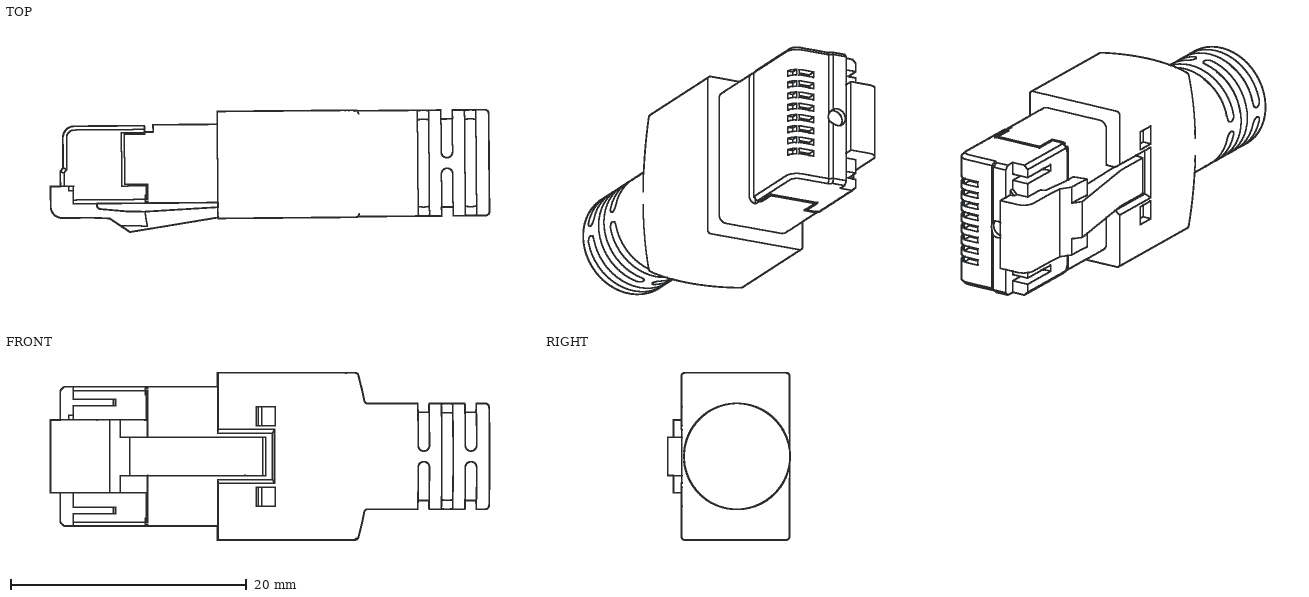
import cadquery as cq
import math

TILT = 0.5
TOLERANCE = 1e-3

BODY_HALF_Z = 5.92
BODY_TOP = 3.4
BODY_BOTTOM = -3.2
FACE_X = 1.08
LIP_X = 0.84
LIP_TOP = -0.15
LIP_BEVEL = 0.3
LIP_BOTTOM = -1.7
CHEEK_X = 1.94
NOSE_RADIUS = 1.0
EDGE_BEVEL = 0.33
NOTCH_START = 8.03
NOTCH_END = 8.75
NOTCH_DEPTH = 0.55
SHIELD_TOP = 3.46
SHIELD_EDGE_RADIUS = 0.68

SEAM_DEPTH = 0.12
SEAM_WIDTH = 0.14
SEAM_FRONT_X = 6.06
SEAM_FRONT_WIDTH = 0.25
SEAM_TOP = 2.8
SEAM_STEP_Y = -1.72
SEAM_REAR_X = 8.13

CONTACT_COUNT = 8
CONTACT_PITCH = 1.016
CONTACT_WIDTH = 0.48
CONTACT_FACE_BOTTOM = 1.3
CONTACT_FACE_TOP = 2.67
CONTACT_NOSE_BOTTOM = 2.87
CONTACT_FLOOR_X = 1.9

MARK_RADIUS = 0.75
MARK_Y = -0.85
MARK_DEPTH = 0.35
SLIT_Z = 4.58
SLIT_WIDTH = 0.56
SLIT_END = 5.55
SLIT_STEP = 0.2
SLIT_STEP_Y = -2.55
WEB_SIZE = 0.4

LATCH_HALF_Z = 3.09
LATCH_BOTTOM = -4.4
LATCH_CORNER = 1.0
LATCH_BEND_X = 3.54
LATCH_RAMP_X = 5.0
LATCH_RAMP_Y = -4.47
SHOULDER_X = 5.9
SHOULDER_BEND_X = 7.24
LATCH_END = 8.2
LATCH_END_Y = -5.17
LATCH_END_LEAN = 0.2
ROOT_X = 3.95
ROOT_RADIUS = 0.3
LATCH_INNER_ROOT_Y = -3.65
LATCH_INNER_DIP_X = 6.5
LATCH_INNER_DIP_Y = -3.87
LATCH_INNER_END_Y = -3.9
ARM_HALF_Z = 1.63
ARM_PEAK_X = 6.72
ARM_PEAK_Y = -5.64
RAMP_SLOPE = (ARM_PEAK_Y - LATCH_RAMP_Y) / (ARM_PEAK_X - LATCH_RAMP_X)
SHOULDER_Y = LATCH_RAMP_Y + RAMP_SLOPE * (SHOULDER_X - LATCH_RAMP_X)
ARM_FLAT_X = 14.65
ARM_FLAT_Y = -4.4
ARM_INNER_Y = -3.55
ARM_FOOT_X = 16.5
ARM_END = 18.0
ARM_END_LEAN = 0.25

BOOT_X = 14.2
BOOT_HALF_Y = 4.55
BOOT_HALF_Z = 7.1
BOOT_TIP_X = 27.1
BOOT_DOME_SAG = 1.0
BOOT_EDGE = 0.3
BAY_END = 19.03
BAY_HALF_Z = 2.3
BAY_FLOOR_Y = BODY_BOTTOM
BAY_BEVEL = 0.33
BAY_END_BEVEL = 0.2
BAY_BEVEL_DEPTH = 0.45
WINDOW_START = 17.43
WINDOW_END = 19.06
WINDOW_Z = 3.41
WINDOW_HALF = 0.81
WINDOW_DEPTH = 0.8
WINDOW_RAMP_START = 17.63
WINDOW_RAMP_DEPTH = 0.6
WINDOW_RAMP_END = 17.93

COLLAR_RADIUS = 4.5
COLLAR_ROOT_RADIUS = 0.25
COLLAR_START = 20.0
COLLAR_END = 37.25
COLLAR_EDGE = 0.35
SLOT_X = (31.67, 33.67, 35.67)
SLOT_WIDTH = 0.96
SLOT_DEPTH = 0.75
SLOT_BRIDGE = 0.9


def box(x, y, z):
    """Box from (min, max) pairs along each axis."""
    size = (x[1] - x[0], y[1] - y[0], z[1] - z[0])
    return cq.Workplane("XY").box(*size, centered=False).translate((x[0], y[0], z[0]))


def prism(outline, half_z):
    """Closed XY outline extruded symmetrically about Z = 0."""
    return outline.close().extrude(half_z, both=True)


def is_bevelled(edge):
    """True for housing rim edges that carry the bevel."""
    middle = edge.positionAt(0.5)
    rear = abs(middle.x - NOTCH_START) < TOLERANCE
    underside_of_lip = abs(middle.y - LIP_BOTTOM) < TOLERANCE
    cheek = abs(middle.x - CHEEK_X) < TOLERANCE and middle.y < LIP_BOTTOM
    return not (rear or underside_of_lip or cheek)


def front_housing():
    arc = NOSE_RADIUS * (1 - math.sqrt(0.5))
    outline = (
        cq.Workplane("XY")
        .moveTo(NOTCH_START, BODY_TOP)
        .lineTo(FACE_X + NOSE_RADIUS, BODY_TOP)
        .threePointArc((FACE_X + arc, BODY_TOP - arc), (FACE_X, BODY_TOP - NOSE_RADIUS))
        .lineTo(FACE_X, LIP_TOP)
        .lineTo(LIP_X, LIP_TOP - LIP_BEVEL)
        .lineTo(LIP_X, LIP_BOTTOM)
        .lineTo(CHEEK_X, LIP_BOTTOM)
        .lineTo(CHEEK_X, BODY_BOTTOM)
        .lineTo(NOTCH_START, BODY_BOTTOM)
    )
    housing = prism(outline, BODY_HALF_Z)
    for side in (">Z", "<Z"):
        rim = housing.faces(side).edges().vals()
        housing = housing.newObject([edge for edge in rim if is_bevelled(edge)]).chamfer(EDGE_BEVEL)
    return housing


def rear_shield():
    shield = box(
        (SEAM_FRONT_X, BOOT_X + BOOT_EDGE),
        (BODY_BOTTOM, SHIELD_TOP),
        (-BODY_HALF_Z, BODY_HALF_Z),
    )
    shield = shield.edges("|X").fillet(SHIELD_EDGE_RADIUS)
    notch = box(
        (NOTCH_START, NOTCH_END),
        (BODY_TOP - NOTCH_DEPTH, SHIELD_TOP),
        (-BODY_HALF_Z, BODY_HALF_Z),
    )
    cover = box((SEAM_FRONT_X, NOTCH_START), (BODY_TOP, SHIELD_TOP), (-BODY_HALF_Z, BODY_HALF_Z))
    return shield.cut(notch).cut(cover)


def seam():
    """Shallow stepped groove on both sides, and straight across the bottom."""
    front_end = SEAM_FRONT_X + SEAM_FRONT_WIDTH
    rear_end = SEAM_REAR_X + SEAM_WIDTH
    full_z = (-BODY_HALF_Z, BODY_HALF_Z)
    groove = box((SEAM_REAR_X, rear_end), (BODY_BOTTOM, BODY_BOTTOM + SEAM_DEPTH), full_z)
    for z in (
        (BODY_HALF_Z - SEAM_DEPTH, BODY_HALF_Z),
        (-BODY_HALF_Z, SEAM_DEPTH - BODY_HALF_Z),
    ):
        groove = groove.union(box((SEAM_FRONT_X, front_end), (SEAM_STEP_Y, SEAM_TOP), z))
        groove = groove.union(box((SEAM_FRONT_X, NOTCH_START), (SEAM_TOP - SEAM_WIDTH, SEAM_TOP), z))
        groove = groove.union(box((SEAM_FRONT_X, rear_end), (SEAM_STEP_Y, SEAM_STEP_Y + SEAM_WIDTH), z))
        groove = groove.union(box((SEAM_REAR_X, rear_end), (BODY_BOTTOM, SEAM_STEP_Y + SEAM_WIDTH), z))
    return groove


def with_front_details(body):
    for i in range(CONTACT_COUNT):
        z = (i - (CONTACT_COUNT - 1) / 2) * CONTACT_PITCH
        span = (z - CONTACT_WIDTH / 2, z + CONTACT_WIDTH / 2)
        for height in ((CONTACT_FACE_BOTTOM, CONTACT_FACE_TOP), (CONTACT_NOSE_BOTTOM, BODY_TOP)):
            body = body.cut(box((LIP_X, CONTACT_FLOOR_X), height, span))
    mark = cq.Workplane("YZ").center(MARK_Y, 0).circle(MARK_RADIUS).extrude(FACE_X + MARK_DEPTH)
    body = body.cut(mark)
    for z in (-SLIT_Z, SLIT_Z):
        span = (z - SLIT_WIDTH / 2, z + SLIT_WIDTH / 2)
        body = body.cut(box((CHEEK_X, SLIT_END), (BODY_BOTTOM, SLIT_STEP_Y), span))
        body = body.cut(box((CHEEK_X, SLIT_END - SLIT_STEP), (SLIT_STEP_Y, LIP_BOTTOM), span))
    web = (
        cq.Workplane("YZ", origin=(CHEEK_X - WEB_SIZE, 0, 0))
        .moveTo(LIP_BOTTOM, LATCH_HALF_Z)
        .lineTo(LIP_BOTTOM - WEB_SIZE, LATCH_HALF_Z)
        .lineTo(LIP_BOTTOM, LATCH_HALF_Z + WEB_SIZE)
        .close()
        .extrude(WEB_SIZE)
    )
    return body.union(web)


def latch():
    arc = LATCH_CORNER * (1 - math.sqrt(0.5))
    root_arc = ROOT_RADIUS * (1 - math.sqrt(0.5))
    pad = prism(
        cq.Workplane("XY")
        .moveTo(0, LIP_BOTTOM)
        .lineTo(0, LATCH_BOTTOM + LATCH_CORNER)
        .threePointArc((arc, LATCH_BOTTOM + arc), (LATCH_CORNER, LATCH_BOTTOM))
        .lineTo(LATCH_BEND_X, LATCH_BOTTOM)
        .lineTo(LATCH_RAMP_X, LATCH_RAMP_Y)
        .lineTo(SHOULDER_X, SHOULDER_Y)
        .lineTo(SHOULDER_BEND_X, SHOULDER_Y)
        .lineTo(LATCH_END, LATCH_END_Y)
        .lineTo(LATCH_END - LATCH_END_LEAN, LATCH_INNER_END_Y)
        .lineTo(LATCH_INNER_DIP_X, LATCH_INNER_DIP_Y)
        .lineTo(ROOT_X + ROOT_RADIUS, LATCH_INNER_ROOT_Y)
        .threePointArc(
            (ROOT_X + root_arc, LATCH_INNER_ROOT_Y + root_arc),
            (ROOT_X, LATCH_INNER_ROOT_Y + ROOT_RADIUS),
        )
        .lineTo(ROOT_X, BODY_BOTTOM)
        .lineTo(CHEEK_X, BODY_BOTTOM)
        .lineTo(CHEEK_X, LIP_BOTTOM),
        LATCH_HALF_Z,
    )
    arm = prism(
        cq.Workplane("XY")
        .moveTo(SHOULDER_X, SHOULDER_Y)
        .lineTo(ARM_PEAK_X, ARM_PEAK_Y)
        .lineTo(ARM_FLAT_X, ARM_FLAT_Y)
        .lineTo(ARM_END, ARM_FLAT_Y)
        .lineTo(ARM_END + ARM_END_LEAN, BAY_FLOOR_Y)
        .lineTo(ARM_FOOT_X, BAY_FLOOR_Y)
        .lineTo(ARM_FOOT_X, ARM_INNER_Y)
        .lineTo(ARM_FLAT_X, ARM_INNER_Y)
        .lineTo(LATCH_END - LATCH_END_LEAN, LATCH_INNER_END_Y)
        .lineTo(LATCH_INNER_DIP_X, LATCH_INNER_DIP_Y),
        ARM_HALF_Z,
    )
    return pad.union(arm)


def boot():
    full_y = (-BOOT_HALF_Y, BOOT_HALF_Y)
    full_z = (-BOOT_HALF_Z, BOOT_HALF_Z)
    dome_radius = (BOOT_HALF_Y**2 + BOOT_DOME_SAG**2) / (2 * BOOT_DOME_SAG)
    axis_x = BOOT_TIP_X - dome_radius
    edge_radius = dome_radius - BOOT_DOME_SAG
    dome = (
        cq.Workplane("XZ")
        .moveTo(0, -BOOT_HALF_Z)
        .lineTo(edge_radius, -BOOT_HALF_Z)
        .threePointArc((dome_radius, 0), (edge_radius, BOOT_HALF_Z))
        .lineTo(0, BOOT_HALF_Z)
        .close()
        .revolve(360, (0, 0), (0, 1))
        .translate((axis_x, 0, 0))
    )
    tail = dome.intersect(box((axis_x, BOOT_TIP_X), full_y, full_z))
    shell = box((BOOT_X, axis_x), full_y, full_z).union(tail)
    shell = shell.edges("|X").fillet(BOOT_EDGE)
    return shell.faces(">X").edges().fillet(BOOT_EDGE)


def latch_bay():
    """Recess in the boot for the end of the latch arm, with a bevelled mouth."""
    length = BAY_END - BOOT_X
    well_length = length - BAY_END_BEVEL
    well_half_z = BAY_HALF_Z - BAY_BEVEL
    mouth = (
        cq.Workplane("XZ", origin=(BOOT_X, -BOOT_HALF_Y, 0))
        .rect(2 * length, 2 * BAY_HALF_Z)
        .workplane(offset=-BAY_BEVEL_DEPTH)
        .rect(2 * well_length, 2 * well_half_z)
        .loft(combine=True)
    )
    well = box(
        (BOOT_X, BOOT_X + well_length),
        (-BOOT_HALF_Y, BAY_FLOOR_Y),
        (-well_half_z, well_half_z),
    )
    return mouth.union(well)


def window(z):
    """Boot window with a ramped front wall."""
    floor_y = WINDOW_DEPTH - BOOT_HALF_Y
    outline = (
        cq.Workplane("XY")
        .moveTo(WINDOW_START, -BOOT_HALF_Y)
        .lineTo(WINDOW_RAMP_START, WINDOW_RAMP_DEPTH - BOOT_HALF_Y)
        .lineTo(WINDOW_RAMP_END, floor_y)
        .lineTo(WINDOW_END, floor_y)
        .lineTo(WINDOW_END, -BOOT_HALF_Y)
    )
    return prism(outline, WINDOW_HALF).translate((0, 0, z))


def collar_slots(x, bridge_on_y):
    """Two arc slots round the collar, with rounded ends beside two bridges."""
    slot_radius = SLOT_WIDTH / 2
    reach = COLLAR_RADIUS + 1
    band = (
        cq.Workplane("YZ", origin=(x - slot_radius, 0, 0))
        .circle(reach)
        .circle(COLLAR_RADIUS - SLOT_DEPTH)
        .extrude(SLOT_WIDTH)
    )
    end_z = SLOT_BRIDGE / 2 + slot_radius
    keep = box((x - slot_radius, x + slot_radius), (-reach, reach), (-end_z, end_z))
    for z in (-end_z, end_z):
        keep = keep.cut(
            cq.Workplane("XZ", origin=(x, 0, z)).circle(slot_radius).extrude(reach, both=True)
        )
    slots = band.cut(keep)
    return slots if bridge_on_y else slots.rotate((0, 0, 0), (1, 0, 0), 90)


def on_collar_root(edge):
    """True for the edges where the collar meets the domed end of the boot."""
    bounds = edge.BoundingBox()
    if bounds.xmin < BOOT_TIP_X - 2 * BOOT_DOME_SAG or bounds.xmax > BOOT_TIP_X:
        return False
    points = edge.positions((0.2, 0.5, 0.7))
    return all(abs(math.hypot(p.y, p.z) - COLLAR_RADIUS) < TOLERANCE for p in points)


def boot_with_collar():
    tube = (
        cq.Workplane("YZ", origin=(COLLAR_START, 0, 0))
        .circle(COLLAR_RADIUS)
        .extrude(COLLAR_END - COLLAR_START)
    )
    tube = tube.faces(">X").edges().fillet(COLLAR_EDGE)
    body = boot().union(tube)
    root_edges = [edge for edge in body.edges().vals() if on_collar_root(edge)]
    body = body.newObject(root_edges).fillet(COLLAR_ROOT_RADIUS)
    for index, x in enumerate(SLOT_X):
        body = body.cut(collar_slots(x, bridge_on_y=index % 2 == 0))
    return body.cut(latch_bay()).cut(window(-WINDOW_Z)).cut(window(WINDOW_Z))


plug = with_front_details(front_housing().union(rear_shield()).cut(seam()))
result = plug.union(boot_with_collar()).union(latch()).rotate((0, 0, 0), (0, 0, 1), TILT)